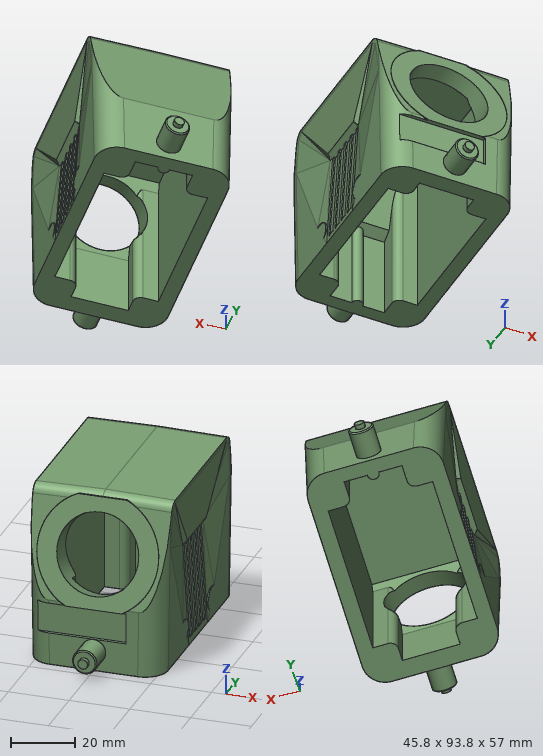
import math

import cadquery as cq

base_half_width = 22.0
top_half_width = 22.9
half_length = 36.4
height = 57.0
roof_edge_z = 56.6
slope_start_z = 22.0
roof_half_length = 27.3
corner_radius = 7.5
roof_fillet = 3.6
slope_angle = math.degrees(math.atan((half_length - roof_half_length) / (height - slope_start_z)))

cavity_half_width = 17.0
end_wall = 5.6
cavity_roof_z = 51.5
ledge_top_z = 30.5
ledge_bottom_z = 28.2
rear_cavity_y = 31.8
guide_rib_radius = 1.9
column_inner_x = 9.4
column_face_y = 23.9
column_edge_radius = 2.6

entry_z = 38.0
entry_radius = 13.45
collar_radius = 20.0
collar_raise = 0.1
collar_root = 1.0
collar_top_z = 55.7

label_right_x = 10.6
label_bottom_z = 10.7
label_top_z = 20.9
label_depth = 1.1

pin_z = 6.6
pin_radius = 4.0
pin_end_y = 45.3
pin_chamfer = 0.4
pin_tip_radius = 1.6
pin_tip_y = 46.875
pin_root_y = 34.0

grip_top_z = 55.5
grip_top_half_length = 24.6
grip_side_z = 42.0
grip_side_half_length = 28.8
grip_shoulder_z = 53.9
grip_shoulder_half_length = 26.7
grip_knee_z = 10.2
grip_knee_half_length = 14.9
panel_half_length = 8.95
panel_top_z = 34.4
panel_top_x = 20.0
step_edge_z = 35.9
step_edge_x = 21.6
flank_foot_x = 20.3
flank_foot_half_length = 9.8
pad_y = 13.4
pad_radius = 4.0
slot_count = 4
slot_width = 2.8
slot_pitch = 4.2
slot_bottom_z = 2.2
slot_depth = 0.4

tool_reach = 100.0


def wall_x(z):
    """Half-width of the flared side wall at height z."""
    return base_half_width + (top_half_width - base_half_width) * z / roof_edge_z


def slope_y(z):
    """Half-length of the sloped end faces at height z."""
    return half_length - (z - slope_start_z) * math.tan(math.radians(slope_angle))


def make_shell_body():
    """Solid outer form: crowned roof, rounded upright corners and sloped ends."""
    cross_section = (
        cq.Workplane("XZ")
        .moveTo(-base_half_width, 0)
        .lineTo(base_half_width, 0)
        .lineTo(top_half_width, roof_edge_z)
        .lineTo(0, height)
        .lineTo(-top_half_width, roof_edge_z)
        .close()
        .extrude(half_length, both=True)
    )
    side_edges = [
        edge
        for edge in cross_section.edges("not |Y").vals()
        if abs(edge.Center().x) > base_half_width and 0 < edge.Center().z < roof_edge_z
    ]
    rounded = cross_section.newObject(side_edges).fillet(corner_radius)
    side_profile = (
        cq.Workplane("YZ")
        .polyline([
            (-half_length, 0),
            (half_length, 0),
            (half_length, slope_start_z),
            (roof_half_length, height),
            (-roof_half_length, height),
            (-half_length, slope_start_z),
        ])
        .close()
        .extrude(tool_reach / 2, both=True)
    )
    body = rounded.intersect(side_profile)
    roof_end_edges = [
        edge
        for edge in body.edges("not |Y").vals()
        if edge.Center().z > roof_edge_z and abs(edge.Center().y) > roof_half_length / 2
    ]
    return body.newObject(roof_end_edges).fillet(roof_fillet)


def make_cavity():
    """Interior void, leaving the corner columns and the rear guide rib standing."""
    inner_offset = end_wall / math.cos(math.radians(slope_angle))
    ledge_y = slope_y(ledge_top_z) - inner_offset
    front_y = half_length - inner_offset
    roof_y = slope_y(cavity_roof_z) - inner_offset
    cavity = (
        cq.Workplane("YZ")
        .polyline([
            (-front_y, 0),
            (rear_cavity_y, 0),
            (rear_cavity_y, ledge_bottom_z),
            (ledge_y, ledge_top_z),
            (roof_y, cavity_roof_z),
            (-roof_y, cavity_roof_z),
            (-front_y, slope_start_z),
        ])
        .close()
        .extrude(cavity_half_width, both=True)
    )
    guide_rib = (
        cq.Workplane("XY")
        .center(0, rear_cavity_y)
        .circle(guide_rib_radius)
        .extrude(ledge_top_z)
    )
    cavity = cavity.cut(guide_rib)
    column_width = cavity_half_width - column_inner_x
    column_length = half_length - column_face_y
    column = (
        cq.Workplane("XY", origin=(column_inner_x, column_face_y, 0))
        .box(column_width, column_length, cavity_roof_z, centered=False)
        .edges("|Z and <X and <Y")
        .fillet(column_edge_radius)
    )
    columns = column.union(column.mirror("YZ"))
    columns = columns.union(columns.mirror("XZ"))
    return cavity.cut(columns)


def entry_plane():
    """Plane on the sloped front face, with its normal pointing out of the hood."""
    angle = math.radians(slope_angle)
    return cq.Plane(
        origin=(0, -slope_y(entry_z), entry_z),
        xDir=(1, 0, 0),
        normal=(0, -math.cos(angle), math.sin(angle)),
    )


def make_collar():
    """Flat ring around the cable entry, trimmed at the roof and at the label recess."""
    disk = (
        cq.Workplane(entry_plane())
        .workplane(offset=-collar_root)
        .circle(collar_radius)
        .extrude(collar_root + collar_raise)
    )
    limits = cq.Workplane("XY").box(
        tool_reach, tool_reach, collar_top_z - label_top_z, centered=(True, True, False)
    )
    return disk.intersect(limits.translate((0, 0, label_top_z)))


def make_entry_bore():
    """Cable entry bore, square to the sloped front face."""
    bore_reach = 2 * end_wall
    return cq.Workplane(entry_plane()).circle(entry_radius).extrude(bore_reach, both=True)


def make_label_recess():
    """Flat label seat that runs out on the -X front corner."""
    recess_width = label_right_x + tool_reach / 2
    return (
        cq.Workplane("XY")
        .box(recess_width, 2 * label_depth, label_top_z - label_bottom_z, centered=False)
        .translate((label_right_x - recess_width, -half_length - label_depth, label_bottom_z))
    )


def make_pin():
    """Stepped pin on the rear end face."""
    barrel = (
        cq.Workplane("XZ", origin=(0, pin_root_y, pin_z))
        .circle(pin_radius)
        .extrude(pin_root_y - pin_end_y)
        .faces(">Y")
        .chamfer(pin_chamfer)
    )
    tip = (
        cq.Workplane("XZ", origin=(0, pin_root_y, pin_z))
        .circle(pin_tip_radius)
        .extrude(pin_root_y - pin_tip_y)
    )
    return barrel.union(tip)


def make_grip_recess():
    """Faceted finger recess in the -X wall, bounded outside by the wall plane."""

    def point_pair(x, y, z):
        return cq.Vector(-x, -y, z), cq.Vector(-x, y, z)

    foot = point_pair(wall_x(0), panel_half_length, 0)
    side = point_pair(wall_x(grip_side_z), grip_side_half_length, grip_side_z)
    top = point_pair(wall_x(grip_top_z), grip_top_half_length, grip_top_z)
    step_edge = point_pair(step_edge_x, panel_half_length, step_edge_z)
    panel_top = point_pair(panel_top_x, panel_half_length, panel_top_z)
    flank_foot = point_pair(flank_foot_x, flank_foot_half_length, panel_top_z)
    shoulder = point_pair(wall_x(grip_shoulder_z), grip_shoulder_half_length, grip_shoulder_z)
    knee = point_pair(wall_x(grip_knee_z), grip_knee_half_length, grip_knee_z)

    rim = [foot, knee, side, shoulder, top]
    outlines = [
        [pair[0] for pair in rim] + [pair[1] for pair in reversed(rim)],
        [foot[0], foot[1], panel_top[1], panel_top[0]],
        [panel_top[0], panel_top[1], step_edge[1], step_edge[0]],
        [step_edge[0], step_edge[1], top[1], top[0]],
    ]
    for end in (0, 1):
        for lower, upper in zip(rim, rim[1:]):
            outlines.append([lower[end], upper[end], flank_foot[end]])
        outlines.append([foot[end], flank_foot[end], panel_top[end]])
        outlines.append([panel_top[end], flank_foot[end], step_edge[end]])
        outlines.append([flank_foot[end], top[end], step_edge[end]])
    faces = [
        cq.Face.makeFromWires(cq.Wire.makePolygon(outline, close=True))
        for outline in outlines
    ]
    recess = cq.Workplane(cq.Solid.makeSolid(cq.Shell.makeShell(faces)))
    pads = (
        cq.Workplane("YZ")
        .pushPoints([(-pad_y, pin_z), (pad_y, pin_z)])
        .circle(pad_radius)
        .extrude(-tool_reach / 2)
    )
    return recess.cut(pads)


def make_grip_slots():
    """Shallow upright slots following the tilted grip panel of the -X wall."""
    panel_tilt = (base_half_width - panel_top_x) / panel_top_z
    step_tilt = (step_edge_x - panel_top_x) / (step_edge_z - panel_top_z)
    slot_top_z = panel_top_z - slot_depth / step_tilt
    bottom_x = base_half_width - panel_tilt * slot_bottom_z
    profile = [
        (-bottom_x, slot_bottom_z),
        (-panel_top_x, panel_top_z),
        (-panel_top_x + slot_depth, slot_top_z),
        (-bottom_x + slot_depth, slot_bottom_z),
    ]
    slots = cq.Workplane("XY")
    for index in range(slot_count):
        center_y = (index - (slot_count - 1) / 2) * slot_pitch
        slot = (
            cq.Workplane("XZ", origin=(0, center_y, 0))
            .polyline(profile)
            .close()
            .extrude(slot_width / 2, both=True)
        )
        slots = slots.union(slot)
    return slots


hood = make_shell_body().union(make_collar())
grip = make_grip_recess()
slots = make_grip_slots()
for cutter in (grip, slots):
    hood = hood.cut(cutter).cut(cutter.mirror("YZ"))
hood = hood.cut(make_label_recess())
hood = hood.cut(make_cavity()).cut(make_entry_bore())
pin = make_pin()
result = hood.union(pin).union(pin.mirror("XZ"))